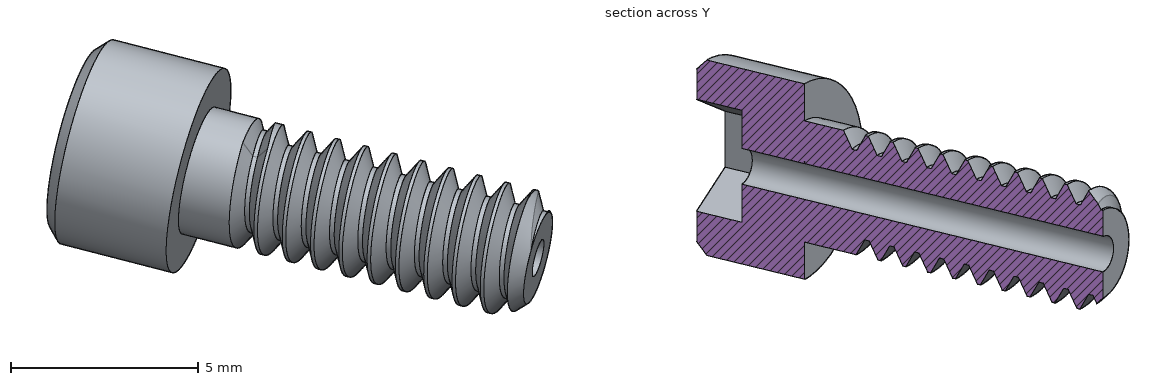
import cadquery as cq
import math


head_diameter = 5.64
head_length = 3.455
head_chamfer = 0.33

socket_across_flats = 2.78
socket_depth = 1.45
bore_diameter = 1.016

shank_length = 9.525
major_diameter = 3.505
minor_diameter = 2.53
pitch = 25.4 / 32
crest_width = pitch / 8
flank_half_angle = math.radians(30)
full_thread_turns = 10
run_out_turns = 0.36

major_radius = major_diameter / 2
minor_radius = minor_diameter / 2
thread_depth = major_radius - minor_radius
total_length = head_length + shank_length

groove_start_x = shank_length - full_thread_turns * pitch
tip_overrun_turns = 0.7

groove_overcut = 0.05
groove_mouth_radius = major_radius + groove_overcut
groove_root_half_width = (pitch - crest_width) / 2 - thread_depth * math.tan(flank_half_angle)
groove_mouth_half_width = (
    groove_root_half_width + (groove_mouth_radius - minor_radius) * math.tan(flank_half_angle)
)
groove_section = [
    (-groove_mouth_half_width, groove_mouth_radius),
    (-groove_root_half_width, minor_radius),
    (groove_root_half_width, minor_radius),
    (groove_mouth_half_width, groove_mouth_radius),
]
rail_points_per_turn = 24


def make_head():
    head = cq.Workplane("YZ").circle(head_diameter / 2).extrude(-head_length)
    return head.faces("<X").chamfer(head_chamfer)


def make_shank():
    shank = cq.Workplane("YZ").circle(major_radius).extrude(shank_length)
    return shank.faces(">X").chamfer(thread_depth)


def make_socket():
    """Hexagonal prism with two corners on the Z axis."""
    across_corners = socket_across_flats / math.cos(math.pi / 6)
    socket = cq.Workplane("YZ", origin=(-head_length, 0, 0)).polygon(6, across_corners)
    return socket.extrude(socket_depth).rotate((0, 0, 0), (1, 0, 0), 90)


def make_bore():
    bore = cq.Workplane("YZ", origin=(-head_length, 0, 0)).circle(bore_diameter / 2)
    return bore.extrude(total_length)


def groove_rail(offset, radius, first_turn, last_turn, rise_per_turn):
    """Right-handed helix of one groove corner; turn 0 is on the +Z side.

    The radius grows by rise_per_turn for each turn away from turn 0 towards the head.
    """
    steps = math.ceil((last_turn - first_turn) * rail_points_per_turn)
    points = []
    for step in range(steps + 1):
        turn = first_turn + (last_turn - first_turn) * step / steps
        angle = 2 * math.pi * turn
        rail_radius = radius - rise_per_turn * turn
        x = groove_start_x + offset + pitch * turn
        points.append(cq.Vector(x, -rail_radius * math.sin(angle), rail_radius * math.cos(angle)))
    return cq.Edge.makeSpline(points)


def make_groove(first_turn, last_turn, rise_per_turn=0):
    """Solid swept by the groove section, bounded by ruled faces between its corner helices."""
    rails = []
    for offset, radius in groove_section:
        rails.append(groove_rail(offset, radius, first_turn, last_turn, rise_per_turn))
    faces = []
    for index, rail in enumerate(rails):
        faces.append(cq.Face.makeRuledSurface(rails[index - 1], rail))
    for end_of in (cq.Edge.startPoint, cq.Edge.endPoint):
        corners = [end_of(rail) for rail in rails]
        faces.append(cq.Face.makeFromWires(cq.Wire.makePolygon(corners, close=True)))
    solid = cq.Solid.makeSolid(cq.Shell.makeShell(faces))
    return cq.Workplane(solid.fix())


full_groove = make_groove(0, full_thread_turns + tip_overrun_turns)
run_out_groove = make_groove(-run_out_turns, 0, thread_depth / run_out_turns)

threaded_shank = make_shank().cut(full_groove).cut(run_out_groove)
result = make_head().union(threaded_shank).cut(make_socket()).cut(make_bore())